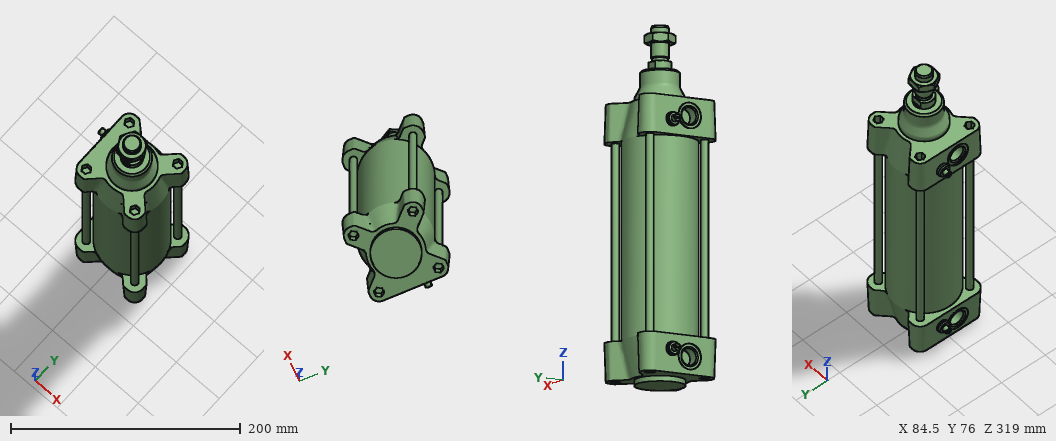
import cadquery as cq
import math


total_height = 319.0
rear_boss_height = 4.8
cap_height = 34.5
neck_top = 279.0
head_top = 250.7
head_bottom = head_top - cap_height
rear_top = rear_boss_height + cap_height

cap_half_width = 38.0
cap_draft_angle = 2.0
tie_spacing = 56.5
tie_offset = tie_spacing / 2
lobe_corner = 23.3
cap_corner_radius = cap_half_width - tie_offset
lobe_edge_radius = 4.0
web_outer_radius = 26.0
web_fillet = 5.0
tie_socket_across_flats = 8.0
tie_socket_depth = 9.5

tube_diameter = 68.0
tie_diameter = 7.0
tie_points = [(sx * tie_offset, sy * tie_offset) for sx in (-1, 1) for sy in (-1, 1)]

port_y = -7.3
port_from_end = 16.0
port_diameter = 15.0
port_mouth_diameter = 17.5
port_floor_x = -25.5
spotface_diameter = 23.0
spotface_x = -36.7
valve_y = 11.2
valve_from_end = 21.0
valve_diameter = 6.0
valve_tip_x = -46.5
collar_diameter = 12.0
collar_face_x = -41.5
collar_taper_length = 2.0
collar_taper_inset = 0.5
valve_root_x = -32.0
valve_slot_width = 1.3
valve_slot_depth = 1.3

boss_diameter = 45.0
neck_diameter = 35.0
neck_chamfer = 2.0
cone_bottom = 255.2
cone_top = 264.0
cone_top_radius = 5.7
cone_bottom_radius = 3.8

rod_diameter = 20.0
flats_width = 17.0
flats_bottom = 280.5
shoulder_top = 287.0
relief_diameter = 14.5
thread_diameter = 16.0
thread_bottom = 290.3
thread_chamfer = (thread_diameter - relief_diameter) / 2
tip_chamfer = 2.0
thread_end_inset = 1.0

nut_across_flats = 24.0
nut_bottom = 303.7
nut_height = 8.0
nut_chamfer_angle = 30.0


def cylinder(diameter, bottom, top):
    return cq.Workplane("XY", origin=(0, 0, bottom)).circle(diameter / 2).extrude(top - bottom)


def side_cylinder(diameter, y, z, outer_x, inner_x):
    """Cylinder along X, from its outer end at -X to its inner end."""
    return cq.Workplane("YZ", origin=(outer_x, y, z)).circle(diameter / 2).extrude(inner_x - outer_x)


def cap_block():
    """Drafted block with four diagonal lobes, closed by a flat wall on -X."""
    half = cap_half_width
    valley = half - lobe_corner
    outline = [
        (-half, -half),
        (-lobe_corner, -half),
        (0, -valley),
        (lobe_corner, -half),
        (half, -half),
        (half, -lobe_corner),
        (valley, 0),
        (half, lobe_corner),
        (half, half),
        (lobe_corner, half),
        (0, valley),
        (-lobe_corner, half),
        (-half, half),
    ]
    prism = cq.Workplane("XY").polyline(outline).close().extrude(cap_height)
    corner_points = [(sx * half, sy * half) for sx in (-1, 1) for sy in (-1, 1)]
    lobe_edges = [(sx * lobe_corner, sy * half) for sx in (-1, 1) for sy in (-1, 1)]
    lobe_edges += [(half, sy * lobe_corner) for sy in (-1, 1)]
    for points, radius in ((corner_points, cap_corner_radius), (lobe_edges, lobe_edge_radius)):
        for x, y in points:
            prism = prism.edges(cq.NearestToPointSelector((x, y, cap_height / 2))).fillet(radius)
    wide_end = prism.faces("<Z").wires().val()
    return cq.Workplane("XY").add(wide_end).toPending().extrude(cap_height, taper=cap_draft_angle)


def cap_web():
    """Cone between the lobes, as wide as the tube at the tube end."""
    return (
        cq.Workplane("XZ")
        .polyline([(0, 0), (tube_diameter / 2, 0), (web_outer_radius, cap_height), (0, cap_height)])
        .close()
        .revolve(360, (0, 0, 0), (0, 1, 0))
    )


def is_web_corner(edge):
    """True for the edges where the cone runs into the lobes."""
    middle = edge.Center()
    runs_between_ends = abs(middle.z - cap_height / 2) < cap_height / 4
    return runs_between_ends and math.hypot(middle.x, middle.y) < tube_diameter / 2


def valve():
    """Slotted pin standing out of a tapered collar."""
    z = cap_height - valve_from_end
    collar = side_cylinder(collar_diameter, valve_y, z, collar_face_x, valve_root_x)
    collar = collar.faces("<X").chamfer(collar_taper_length, collar_taper_inset)
    pin = side_cylinder(valve_diameter, valve_y, z, valve_tip_x, valve_root_x)
    slot = cq.Workplane("XY").box(2 * valve_slot_depth, collar_diameter, valve_slot_width)
    return collar.union(pin).cut(slot.translate((valve_tip_x, valve_y, z)))


def cut_port(cap):
    """Blind bore with a chamfered mouth, in a shallow spotface."""
    z = cap_height - port_from_end
    bore_radius = port_diameter / 2
    mouth_radius = port_mouth_diameter / 2
    bore = side_cylinder(port_diameter, port_y, z, -cap_half_width, port_floor_x)
    spotface = side_cylinder(spotface_diameter, port_y, z, -cap_half_width, spotface_x)
    mouth = cq.Solid.makeCone(
        mouth_radius,
        bore_radius,
        mouth_radius - bore_radius,
        pnt=cq.Vector(spotface_x, port_y, z),
        dir=cq.Vector(1, 0, 0),
    )
    return cap.cut(spotface).cut(bore).cut(mouth)


def end_cap():
    """Cap with its tube end at Z = 0 and its outer end up."""
    cap = cap_block().union(cap_web())
    web_corners = [edge for edge in cap.edges().vals() if is_web_corner(edge)]
    cap = cap.newObject(web_corners).fillet(web_fillet)
    cap = cut_port(cap.union(valve()))
    sockets = (
        cq.Workplane("XY", origin=(0, 0, cap_height))
        .pushPoints(tie_points)
        .polygon(6, 2 * tie_socket_across_flats / math.sqrt(3))
        .extrude(-tie_socket_depth)
    )
    return cap.cut(sockets)


def neck():
    """Stepped guide on the head, narrowed by a cone with rounded ends."""
    boss_radius = boss_diameter / 2
    neck_radius = neck_diameter / 2
    profile = (
        cq.Workplane("XZ")
        .moveTo(0, head_top)
        .lineTo(boss_radius, head_top)
        .lineTo(boss_radius, cone_bottom)
        .lineTo(neck_radius, cone_top)
        .lineTo(neck_radius, neck_top)
        .lineTo(0, neck_top)
        .close()
    )
    body = profile.revolve(360, (0, 0, 0), (0, 1, 0))
    body = body.faces(">Z").chamfer(neck_chamfer)
    ring_at_bottom = cq.NearestToPointSelector((0, 0, cone_bottom))
    ring_at_top = cq.NearestToPointSelector((0, 0, cone_top))
    body = body.edges("%CIRCLE").edges(ring_at_top).fillet(cone_top_radius)
    return body.edges("%CIRCLE").edges(ring_at_bottom).fillet(cone_bottom_radius)


def make_housing():
    """Both caps, tube, tie rods, neck and rear boss, bored for the rod."""
    cap = end_cap()
    head = cap.translate((0, 0, head_bottom))
    rear = cap.mirror("XY").translate((0, 0, rear_top))
    ties = (
        cq.Workplane("XY", origin=(0, 0, rear_top))
        .pushPoints(tie_points)
        .circle(tie_diameter / 2)
        .extrude(head_bottom - rear_top)
    )
    tube = cylinder(tube_diameter, rear_top, head_bottom)
    rear_boss = cylinder(boss_diameter, 0, rear_boss_height)
    rod_bore = cylinder(rod_diameter, head_bottom, neck_top)
    return tube.union(rear).union(head).union(ties).union(rear_boss).union(neck()).cut(rod_bore)


def make_rod():
    """Rod with two wrench flats facing Y, a relief groove and a threaded end."""
    shank = cylinder(rod_diameter, head_bottom, shoulder_top)
    kept_between_flats = (
        cq.Workplane("XY", origin=(0, 0, flats_bottom))
        .rect(2 * rod_diameter, flats_width)
        .extrude(shoulder_top - flats_bottom)
    )
    shank = shank.cut(cylinder(2 * rod_diameter, flats_bottom, shoulder_top).cut(kept_between_flats))
    relief = cylinder(relief_diameter, shoulder_top, thread_bottom)
    thread = cylinder(thread_diameter, thread_bottom, total_height)
    thread = thread.faces(">Z").chamfer(tip_chamfer, thread_end_inset)
    thread = thread.faces("<Z").chamfer(thread_chamfer)
    return shank.union(relief).union(thread)


def make_nut():
    """Hexagon nut with corners along X and both faces chamfered."""
    corner_radius = nut_across_flats / math.sqrt(3)
    face_radius = nut_across_flats / 2
    drop = (corner_radius - face_radius) * math.tan(math.radians(nut_chamfer_angle))
    nut_top = nut_bottom + nut_height
    hexagon = (
        cq.Workplane("XY", origin=(0, 0, nut_bottom))
        .polygon(6, 2 * corner_radius)
        .extrude(nut_height)
    )
    turned = (
        cq.Workplane("XZ")
        .moveTo(0, nut_bottom)
        .lineTo(face_radius, nut_bottom)
        .lineTo(corner_radius, nut_bottom + drop)
        .lineTo(corner_radius, nut_top - drop)
        .lineTo(face_radius, nut_top)
        .lineTo(0, nut_top)
        .close()
        .revolve(360, (0, 0, 0), (0, 1, 0))
    )
    return hexagon.intersect(turned).cut(cylinder(thread_diameter, nut_bottom, nut_top))


housing = make_housing()
rod = make_rod()
nut = make_nut()
result = cq.Compound.makeCompound([housing.val(), rod.val(), nut.val()])